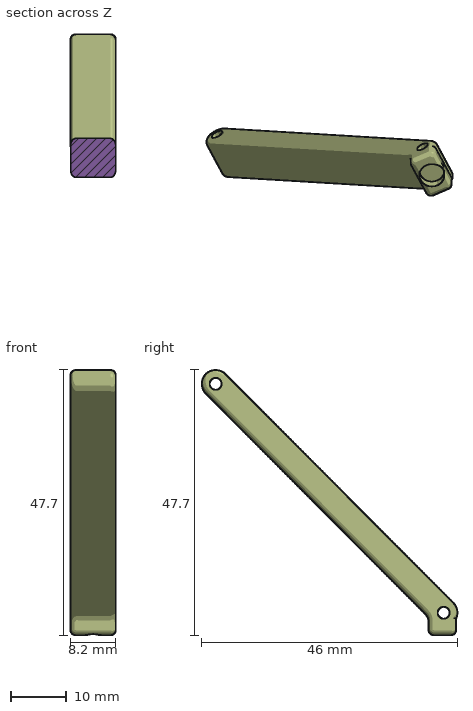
import cadquery as cq
import math

width = 8.2
arm_thickness = 5.0
foot_thickness = 5.0
overall_depth = 46.0
overall_height = 47.7
foot_drop = 4.05
foot_shift = 0.25
inner_bend_radius = 2.0
edge_radius = 1.0
pin_diameter = 2.1
socket_diameter = 4.5
socket_depth = 2.0
socket_shift = 0.1

arm_radius = arm_thickness / 2
arm_run = overall_depth - 2 * arm_radius
arm_rise = overall_height - foot_drop - arm_radius
arm_angle = math.atan2(arm_rise, arm_run)
side_y = arm_radius * math.sin(arm_angle)
side_z = arm_radius * math.cos(arm_angle)
end_y = -arm_radius * math.cos(arm_angle)
end_z = arm_radius * math.sin(arm_angle)

heel_y = foot_thickness / 2 - foot_shift
toe_y = -foot_thickness / 2 - foot_shift
heel_z = -math.sqrt(arm_radius**2 - heel_y**2)
inner_corner_z = -toe_y * math.tan(arm_angle) - arm_radius / math.cos(arm_angle)


def arm_and_foot():
    """Side outline, swept across the width, with every outer edge rounded."""
    outline = (
        cq.Workplane("YZ", origin=(-width / 2, 0, 0))
        .moveTo(toe_y, -foot_drop)
        .lineTo(heel_y, -foot_drop)
        .lineTo(heel_y, heel_z)
        .threePointArc((arm_radius, 0), (side_y, side_z))
        .lineTo(-arm_run + side_y, arm_rise + side_z)
        .threePointArc(
            (-arm_run + end_y, arm_rise + end_z),
            (-arm_run - side_y, arm_rise - side_z),
        )
        .lineTo(toe_y, inner_corner_z)
        .close()
    )
    body = outline.extrude(width)
    corner = cq.selectors.NearestToPointSelector((0, toe_y, inner_corner_z))
    body = body.edges("|X").edges(corner).fillet(inner_bend_radius)
    return body.faces("<X or >X or <Z").edges().fillet(edge_radius)


def pin_hole(y, z):
    return cq.Workplane("YZ", origin=(-width / 2, y, z)).circle(pin_diameter / 2).extrude(width)


def foot_socket():
    """Blind round socket below the pivot; it breaks into the foot's rounded edges."""
    return (
        cq.Workplane("XY", origin=(0, -socket_shift, -foot_drop))
        .circle(socket_diameter / 2)
        .extrude(socket_depth)
    )


result = arm_and_foot()
for pin_y, pin_z in [(0, 0), (-arm_run, arm_rise)]:
    result = result.cut(pin_hole(pin_y, pin_z))
result = result.cut(foot_socket())